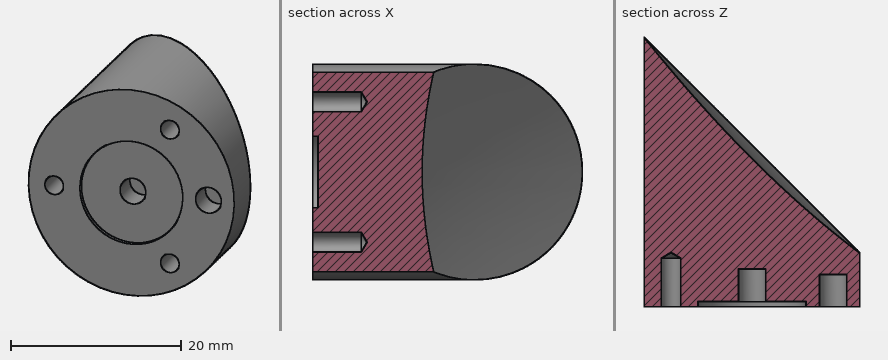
import cadquery as cq
import math


radius = 12.7
length = 31.75

reflected_focal_length = 50.8
parent_focal_length = reflected_focal_length / 2
axis_offset = 2 * parent_focal_length
cutter_overshoot = 1.1

recess_diameter = 12.7
recess_depth = 0.65
pin_hole_diameter = 3.18
pin_hole_depth = 3.8
hole_circle_radius = 9.52
screw_hole_diameter = 2.3
screw_hole_depth = 5.7
drill_tip_angle = 118.0
screw_hole_angles = (60.0, 180.0, 300.0)


def cylinder_from_face(x, z, diameter, depth):
    """Cylinder running from the mounting face toward +Y."""
    return cq.Workplane(cq.Solid.makeCylinder(
        diameter / 2, depth, cq.Vector(x, 0, z), cq.Vector(0, 1, 0)))


def drilled_hole(x, z, diameter, depth):
    """Hole from the mounting face that ends in a conical drill tip."""
    tip_height = diameter / 2 / math.tan(math.radians(drill_tip_angle / 2))
    tip = cq.Solid.makeCone(
        diameter / 2, 0, tip_height, cq.Vector(x, depth, z), cq.Vector(0, 1, 0))
    bore = cylinder_from_face(x, z, diameter, depth)
    return bore.union(cq.Workplane(tip))


def parabola_above_vertex(distance):
    """Height of the parent paraboloid at a distance from its axis."""
    return distance**2 / (4 * parent_focal_length)


def mirror_cutter():
    """Solid inside the paraboloid, reaching past the highest point of the blank."""
    rim_distance = cutter_overshoot * (axis_offset + radius)
    rim_height = parabola_above_vertex(rim_distance)
    vertex_y = length - parabola_above_vertex(axis_offset + radius)
    bowl = (
        cq.Workplane("XY")
        .moveTo(0, 0)
        .bezier([(0, 0), (rim_distance / 2, 0), (rim_distance, rim_height)])
        .lineTo(0, rim_height)
        .close()
        .revolve(360, (0, 0), (0, 1))
    )
    return bowl.translate((axis_offset, vertex_y, 0))


result = cylinder_from_face(0, 0, 2 * radius, length)
result = result.cut(mirror_cutter())

result = result.cut(cylinder_from_face(0, 0, recess_diameter, recess_depth))
result = result.cut(cylinder_from_face(0, 0, pin_hole_diameter, recess_depth + pin_hole_depth))

result = result.cut(cylinder_from_face(hole_circle_radius, 0, pin_hole_diameter, pin_hole_depth))

for angle in screw_hole_angles:
    hole_x = hole_circle_radius * math.cos(math.radians(angle))
    hole_z = hole_circle_radius * math.sin(math.radians(angle))
    result = result.cut(drilled_hole(hole_x, hole_z, screw_hole_diameter, screw_hole_depth))